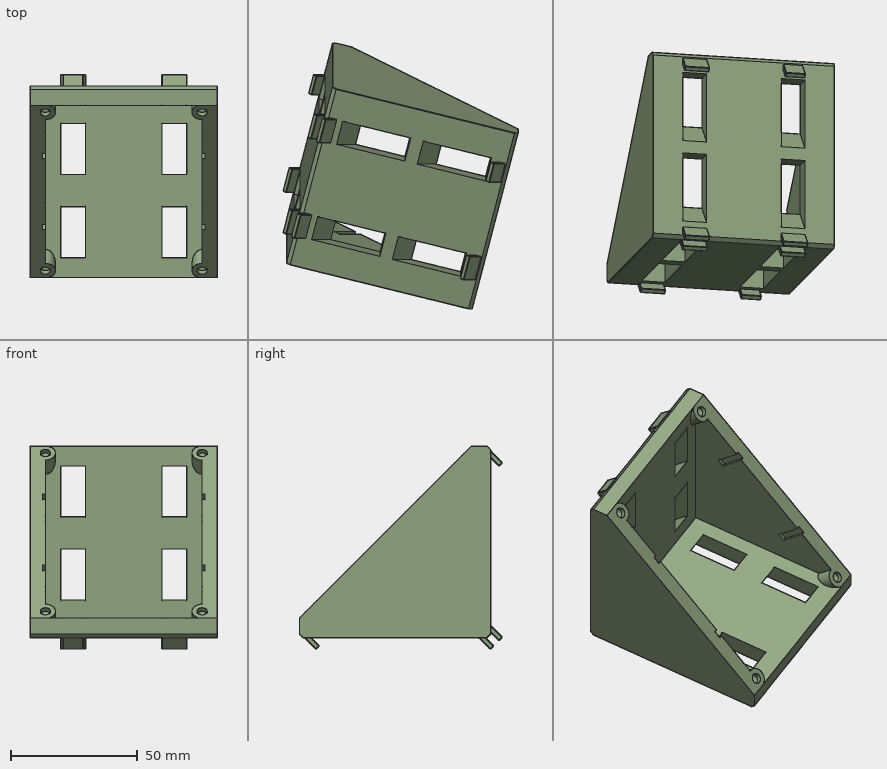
import cadquery as cq
import math


width = 74.0
overall_leg = 80.2
hook_reach = 4.4
leg = overall_leg - hook_reach
side_wall = 6.0
plate_thickness = 7.8
edge_chamfer = 1.5
edge_break = 0.25
inner_x = width / 2 - side_wall
slope_sum = leg + plate_thickness

window_width = 9.6
window_length = 20.0
window_centers = (25.0, 57.9)
window_inset = 17.0
window_x = width / 2 - window_inset

hook_thickness = 2.0
hook_margin = 2.0
hook_embed = 1.6
wide_hook_width = 10.0
narrow_hook_width = 8.0

boss_diameter = 8.0
boss_length = 10.4
boss_inset = 2.7
boss_hole_diameter = 4.0
boss_hole_depth = 2.0
boss_hole_tip = 1.2
boss_heights = (plate_thickness + boss_inset, leg - boss_inset)

slot_width = 3.05
slot_depth = 1.2
slot_length = 12.0
slot_heights = (27.7, 55.8)


def extrude_across(points, across):
    """Extrude an outline of (Y, Z) points along X, centred on X = 0."""
    return cq.Workplane("YZ").polyline(points).close().extrude(across / 2, both=True)


def swap_plates(shape):
    """Mirror a feature of the back plate onto the base plate."""
    return shape.mirror(cq.Vector(0, 1, 1))


def slope_workplane(x, height):
    """Workplane on the sloped face, facing outward, with its local x along X."""
    origin = (x, height - slope_sum, height)
    return cq.Workplane(cq.Plane(origin=origin, xDir=(1, 0, 0), normal=(0, -1, 1)))


def make_outline():
    """Solid with the side profile of the bracket and its outer side edges broken."""
    outline = extrude_across(
        [
            (-edge_chamfer, 0),
            (edge_chamfer - leg, 0),
            (-leg, edge_chamfer),
            (-leg, plate_thickness),
            (-plate_thickness, leg),
            (-edge_chamfer, leg),
            (0, leg - edge_chamfer),
            (0, edge_chamfer),
        ],
        width,
    )
    side_edges = outline.faces("<X or >X").edges(">Y or <Z or >(0,1,-1)")
    return side_edges.chamfer(edge_break)


def make_cavity():
    """Triangular space between the side walls, open at the slope."""
    return extrude_across(
        [
            (-plate_thickness, plate_thickness),
            (-leg, plate_thickness),
            (-plate_thickness, leg),
        ],
        width - 2 * side_wall,
    )


def make_boss(x, height):
    """Round boss running square inward from the sloped face."""
    return slope_workplane(x, height).circle(boss_diameter / 2).extrude(-boss_length)


def make_boss_hole(x, height):
    """Blind hole with a conical bottom, square to the sloped face."""
    radius = boss_hole_diameter / 2
    section_plane = cq.Plane(
        origin=(x, height - slope_sum, height),
        xDir=(1, 0, 0),
        normal=(0, -1, -1),
    )
    section = cq.Workplane(section_plane).polyline(
        [
            (0, 0),
            (radius, 0),
            (radius, -boss_hole_depth),
            (0, -boss_hole_depth - boss_hole_tip),
        ]
    )
    return section.close().revolve(360, (0, 0), (0, 1))


def make_slot(x, height):
    """Slot square to the sloped face; only its outer half lies in the side wall."""
    return slope_workplane(x, height).rect(2 * slot_depth, slot_width).extrude(-slot_length)


def make_window(x, center):
    """Opening through the back plate; its lower end slopes down and back at 45 degrees."""
    top = center + window_length / 2
    bottom = center - window_length / 2
    window = extrude_across(
        [
            (-plate_thickness, top),
            (0, top),
            (0, bottom - plate_thickness),
            (-plate_thickness, bottom),
        ],
        window_width,
    )
    return window.translate((x, 0, 0))


def make_hook(x, root_height, across):
    """Bar out of the back plate, down and back at 45 degrees.

    root_height is where its upper side meets the outer face of the plate.
    """
    sharp_reach = hook_reach + edge_break / math.sqrt(2)
    tip_plane = cq.Plane(
        origin=(x, sharp_reach, root_height - sharp_reach),
        xDir=(1, 0, 0),
        normal=(0, -1, 1),
    )
    bar = (
        cq.Workplane(tip_plane)
        .center(0, -hook_thickness / 2)
        .rect(across, hook_thickness)
        .extrude((sharp_reach + hook_embed) * math.sqrt(2))
    )
    return bar.edges().chamfer(edge_break)


outline = make_outline()
result = outline.cut(make_cavity())

for x in (-inner_x, inner_x):
    for height in boss_heights:
        result = result.union(make_boss(x, height).intersect(outline))
        result = result.cut(make_boss_hole(x, height))
    for height in slot_heights:
        result = result.cut(make_slot(x, height))

for x in (-window_x, window_x):
    for center in window_centers:
        window = make_window(x, center)
        result = result.cut(window).cut(swap_plates(window))

far_root = leg - hook_margin
corner_root = hook_margin + hook_thickness * math.sqrt(2)
hooks = [
    make_hook(-window_x, far_root, narrow_hook_width),
    make_hook(window_x, far_root, wide_hook_width),
    make_hook(-window_x, corner_root, wide_hook_width),
    make_hook(window_x, corner_root, wide_hook_width),
]
for hook in hooks:
    result = result.union(hook).union(swap_plates(hook))